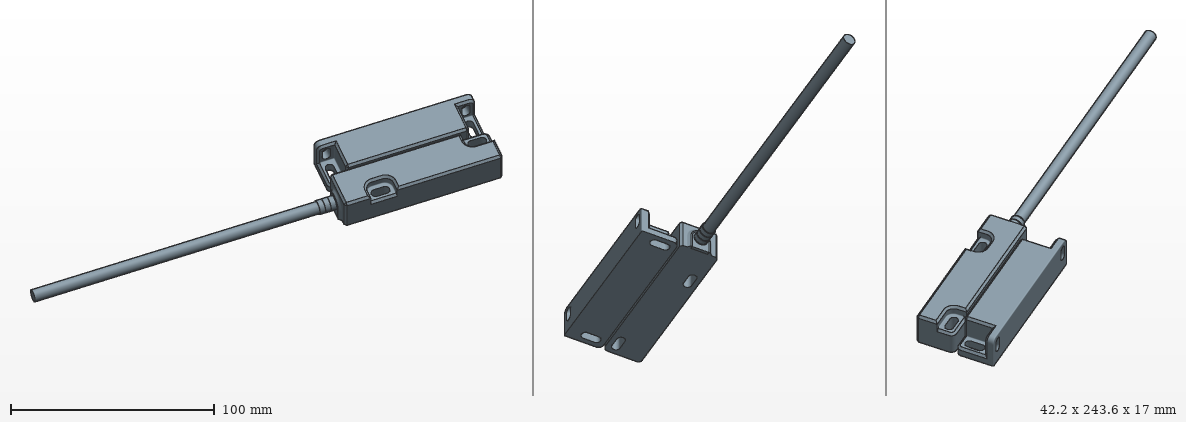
import cadquery as cq

TOTAL_LENGTH = 243.6
TOTAL_WIDTH = 42.2
BODY_LENGTH = 83.3
BODY_HEIGHT = 17.0

INNER_FILLET = 0.5
CORNER_RADIUS = 3.0
SLOT_WIDTH = 4.5

ACTUATOR_WIDTH = 20.5
ACTUATOR_CHAMFER = 1.2
BASE_THICKNESS = 4.9
PLATE_THICKNESS = 4.9
PLATE_CORNER_RADIUS = 3.2
PLATE_EDGE_FILLET = 0.6
PLATE_SLOT_Z = 10.7
PLATE_SLOT_LENGTH = 8.0
FOOT_LENGTH = 9.3
FOOT_SLOT_X = 12.5
FOOT_SLOT_LENGTH = 10.5
SLOT_END_DISTANCE = 4.9

SENSOR_X = 21.5
SENSOR_WIDTH = TOTAL_WIDTH - SENSOR_X
SENSOR_CHAMFER = 1.2
SENSOR_SLOT_LENGTH = 9.5
SENSOR_SLOT_INSET = 4.9
REAR_SLOT_X = SENSOR_X + SENSOR_SLOT_INSET
REAR_SLOT_Y = BODY_LENGTH - 7.3
FRONT_SLOT_X = TOTAL_WIDTH - SENSOR_SLOT_INSET
FRONT_SLOT_Y = 20.7
POCKET_FLOOR_Z = 12.2
POCKET_WIDTH = 8.8
POCKET_LENGTH = SENSOR_SLOT_LENGTH + POCKET_WIDTH - SLOT_WIDTH

CABLE_X = 31.7
CABLE_Z = 7.0
CABLE_RADIUS = 3.2
COLLAR_RADIUS = 6.8
COLLAR_LENGTH = 1.5
COLLAR_TAPER = 45
COLLAR_FILLET = 1.2
PLUG_RADIUS = 4.6
RING_RADIUS = 3.7
RING_LENGTH = 3.0
RING_COUNT = 3

MARGIN = 0.02


def block(x, y, z, width, length, height):
    """A box with its lowest corner at (x, y, z)."""
    return cq.Workplane("XY").box(width, length, height, centered=False).translate((x, y, z))


def upright_slot(x, y, length, angle):
    """A cutter through the full height, with its long axis at the given angle from X."""
    return cq.Workplane("XY").center(x, y).slot2D(length, SLOT_WIDTH, angle).extrude(BODY_HEIGHT)


def is_inside_corner(body, edge):
    """True where material fills more than half of the space around the edge's middle."""
    probe = cq.Workplane("XY").sphere(MARGIN).translate(edge.positionAt(0.5).toTuple())
    filled = probe.intersect(body).val().Volume()
    return filled > probe.val().Volume() / 2


def edges_from(body, x, z):
    """The edges whose middles lie at or beyond the given X and Z."""
    low_corner = (x - MARGIN, -MARGIN, z - MARGIN)
    high_corner = (TOTAL_WIDTH + MARGIN, BODY_LENGTH + MARGIN, BODY_HEIGHT + MARGIN)
    return body.edges(cq.selectors.BoxSelector(low_corner, high_corner)).vals()


def chamfer_outside(body, edges, size):
    return body.newObject([edge for edge in edges if not is_inside_corner(body, edge)]).chamfer(size)


def fillet_inside(body, edges):
    return body.newObject([edge for edge in edges if is_inside_corner(body, edge)]).fillet(INNER_FILLET)




def actuator_blank():
    """The rounded block with the space above each foot cut away."""
    body = block(0, 0, 0, ACTUATOR_WIDTH, BODY_LENGTH, BODY_HEIGHT)
    body = body.edges("|X and >Z").fillet(PLATE_CORNER_RADIUS)
    foot_width = ACTUATOR_WIDTH - PLATE_THICKNESS
    for y in (0, BODY_LENGTH - FOOT_LENGTH):
        body = body.cut(block(PLATE_THICKNESS, y, BASE_THICKNESS, foot_width, FOOT_LENGTH, BODY_HEIGHT))
    return body.edges("|Z and >X and (<Y or >Y)").fillet(CORNER_RADIUS)


def plate_slot(y):
    """A cutter through the side plate."""
    profile = cq.Workplane("YZ").center(y, PLATE_SLOT_Z).slot2D(PLATE_SLOT_LENGTH, SLOT_WIDTH, 90)
    return profile.extrude(PLATE_THICKNESS)


def make_actuator():
    body = actuator_blank()
    body = chamfer_outside(body, edges_from(body, PLATE_THICKNESS, BASE_THICKNESS), ACTUATOR_CHAMFER)
    body = fillet_inside(body, edges_from(body, PLATE_THICKNESS, BASE_THICKNESS))
    body = body.faces("<X").edges("not <Z").fillet(PLATE_EDGE_FILLET)
    for y in (SLOT_END_DISTANCE, BODY_LENGTH - SLOT_END_DISTANCE):
        body = body.cut(upright_slot(FOOT_SLOT_X, y, FOOT_SLOT_LENGTH, 0))
        body = body.cut(plate_slot(y))
    return body




def front_pocket():
    """A pocket around the front slot that runs out through the +X side."""
    pocket = cq.Workplane("XY", origin=(FRONT_SLOT_X, FRONT_SLOT_Y, POCKET_FLOOR_Z))
    pocket = pocket.slot2D(POCKET_LENGTH, POCKET_WIDTH, 90).extrude(BODY_HEIGHT)
    low_y = FRONT_SLOT_Y - POCKET_LENGTH / 2
    mouth = block(FRONT_SLOT_X, low_y, POCKET_FLOOR_Z, SENSOR_WIDTH, POCKET_LENGTH, BODY_HEIGHT)
    return pocket.union(mouth).clean()


def rear_pocket():
    """A pocket around the rear slot that takes the whole corner, with one rounded inner corner."""
    low_y = REAR_SLOT_Y - POCKET_LENGTH / 2
    width = SENSOR_SLOT_INSET + POCKET_WIDTH / 2
    pocket = block(SENSOR_X, low_y, POCKET_FLOOR_Z, width, BODY_LENGTH - low_y, BODY_HEIGHT)
    return pocket.edges("|Z and >X and <Y").fillet(POCKET_WIDTH / 2)


def sensor_blank():
    """The block with its pockets, and the rear corner below the open pocket rounded."""
    body = block(SENSOR_X, 0, 0, SENSOR_WIDTH, BODY_LENGTH, BODY_HEIGHT)
    body = body.cut(front_pocket()).cut(rear_pocket())
    return body.edges("|Z and <X and >Y").fillet(CORNER_RADIUS)


def is_level_or_full_height(edge):
    """False for the short uprights at the pocket mouths and at the rounded corner."""
    height = edge.BoundingBox().zlen
    return height < MARGIN or height > BODY_HEIGHT - MARGIN


def arch(radius, length, taper=0):
    """A round-topped block that stands on Z = 0 and reaches from Y = 0 towards -Y."""
    below = -radius
    outline = cq.Workplane("XZ").moveTo(CABLE_X - radius, below).lineTo(CABLE_X - radius, CABLE_Z)
    outline = outline.threePointArc((CABLE_X, CABLE_Z + radius), (CABLE_X + radius, CABLE_Z))
    solid = outline.lineTo(CABLE_X + radius, below).close().extrude(length, taper=taper)
    return solid.intersect(block(SENSOR_X, -length, 0, SENSOR_WIDTH, length, BODY_HEIGHT))


def add_collar(body):
    """Joins the tapered collar to the cable end and rounds the corner around its foot."""
    body = body.union(arch(COLLAR_RADIUS, COLLAR_LENGTH, COLLAR_TAPER))
    reach = COLLAR_RADIUS + MARGIN
    low_corner = (CABLE_X - reach, -MARGIN, MARGIN)
    high_corner = (CABLE_X + reach, MARGIN, CABLE_Z + reach)
    return body.edges(cq.selectors.BoxSelector(low_corner, high_corner)).fillet(COLLAR_FILLET)


def make_sensor():
    body = sensor_blank()
    rim = [edge for edge in edges_from(body, SENSOR_X, 2 * MARGIN) if is_level_or_full_height(edge)]
    body = chamfer_outside(body, rim, SENSOR_CHAMFER)
    floor = [edge for edge in edges_from(body, SENSOR_X, POCKET_FLOOR_Z)
             if edge.BoundingBox().zmax < POCKET_FLOOR_Z + MARGIN]
    body = fillet_inside(body, floor)
    body = add_collar(body)
    body = body.cut(upright_slot(REAR_SLOT_X, REAR_SLOT_Y, SENSOR_SLOT_LENGTH, 90))
    body = body.cut(upright_slot(FRONT_SLOT_X, FRONT_SLOT_Y, SENSOR_SLOT_LENGTH, 90))
    return body.cut(arch(PLUG_RADIUS, COLLAR_LENGTH))




def cable_rod(radius, start, length):
    """A round rod on the cable's axis that begins at the given distance from the sensor's end."""
    return cq.Workplane("XZ", origin=(CABLE_X, -start, CABLE_Z)).circle(radius).extrude(length)


def make_plug():
    return arch(PLUG_RADIUS, COLLAR_LENGTH)


def make_ring(index):
    start = COLLAR_LENGTH + index * RING_LENGTH
    return cable_rod(RING_RADIUS, start, RING_LENGTH).cut(cable_rod(CABLE_RADIUS, start, RING_LENGTH))


def make_cable():
    return cable_rod(CABLE_RADIUS, COLLAR_LENGTH, TOTAL_LENGTH - BODY_LENGTH - COLLAR_LENGTH)


actuator = make_actuator()
sensor = make_sensor()
plug = make_plug()
rings = [make_ring(index).val() for index in range(RING_COUNT)]
cable = make_cable()

result = cq.Compound.makeCompound([actuator.val(), sensor.val(), plug.val(), *rings, cable.val()])